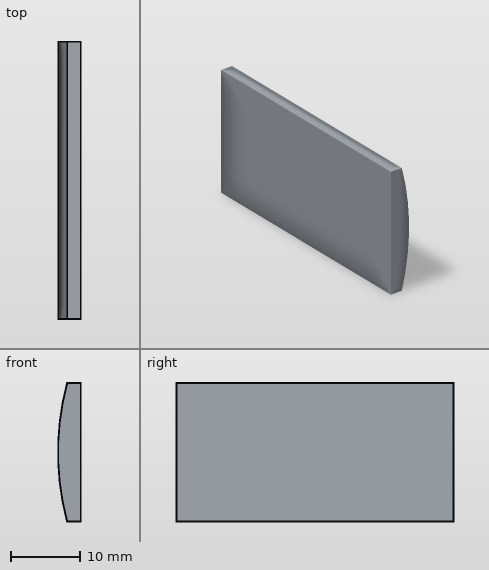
import cadquery as cq

length = 40.0
height = 20.0
center_thickness = 3.3
edge_thickness = 2.0

back_x = center_thickness / 2
crown_x = back_x - center_thickness
edge_x = back_x - edge_thickness
half_height = height / 2

result = (
    cq.Workplane("XZ")
    .moveTo(back_x, -half_height)
    .lineTo(back_x, half_height)
    .lineTo(edge_x, half_height)
    .threePointArc((crown_x, 0), (edge_x, -half_height))
    .close()
    .extrude(length / 2, both=True)
)